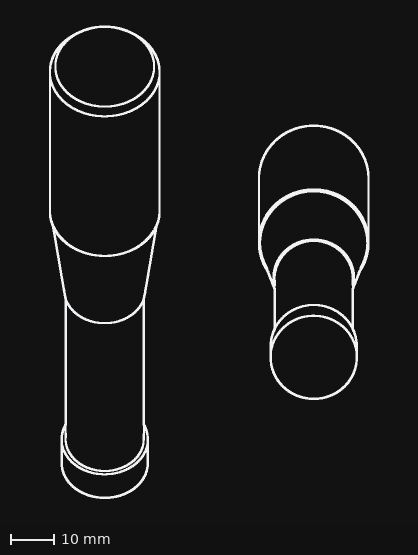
import cadquery as cq
import math

total_length = 159.8
shank_diameter = 25.4

tip_diameter = 20.0
tip_top = 13.0
point_angle = 140.0
tip_radius = tip_diameter / 2
point_height = tip_radius / math.tan(math.radians(point_angle / 2))

neck_diameter = 18.0
neck_top = 71.5
taper_bottom_diameter = 18.7
taper_top_diameter = 24.8
shank_bottom = 102.2
lower_chamfer_height = 0.5
top_chamfer_width = 1.3
top_chamfer_height = 2.0


def revolve_profile(points):
    """Turn a closed (radius, height) outline about the Z axis."""
    return cq.Workplane("XZ").polyline(points).close().revolve(360, (0, 0), (0, 1))


def make_cutting_tip():
    return revolve_profile([
        (0, 0),
        (tip_radius, point_height),
        (tip_radius, tip_top),
        (0, tip_top),
    ])


def make_holder():
    neck_radius = neck_diameter / 2
    shank_radius = shank_diameter / 2
    return revolve_profile([
        (0, tip_top),
        (neck_radius, tip_top),
        (neck_radius, neck_top),
        (taper_bottom_diameter / 2, neck_top),
        (taper_top_diameter / 2, shank_bottom),
        (shank_radius, shank_bottom + lower_chamfer_height),
        (shank_radius, total_length - top_chamfer_height),
        (shank_radius - top_chamfer_width, total_length),
        (0, total_length),
    ])


cutting_tip = make_cutting_tip()
holder = make_holder()

result = cq.Compound.makeCompound([cutting_tip.val(), holder.val()])